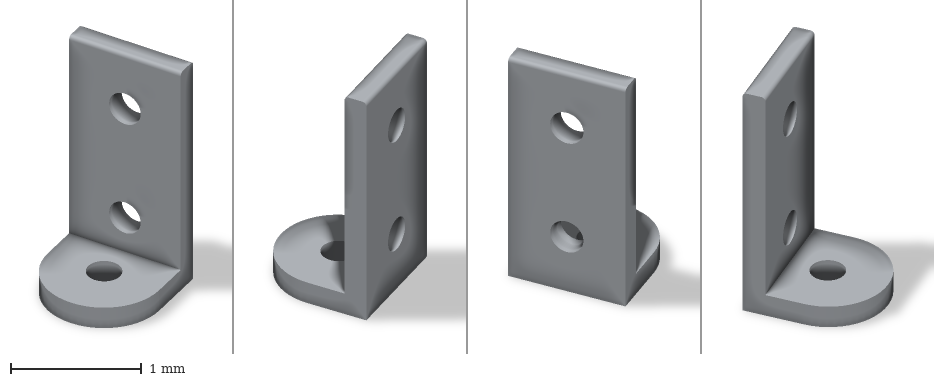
import cadquery as cq

width = 0.99
depth = 1.0
height = 2.0
thickness = 0.188

hole_diameter = 0.28
foot_hole_from_back = depth / 2
wall_hole_heights = (height / 4, 3 * height / 4)
top_edge_radius = 0.035
front_flat_width = 0.01
front_corner_radius = (width - front_flat_width) / 2
back_y = depth / 2


def make_foot():
    """Horizontal plate whose large front corner rounds leave a narrow flat between them."""
    foot = cq.Workplane("XY").box(width, depth, thickness, centered=(True, True, False))
    return foot.edges("|Z and <Y").fillet(front_corner_radius)


def make_wall():
    """Upright plate at the back, with both long top edges rounded."""
    wall = cq.Workplane("XY").box(width, thickness, height, centered=(True, True, False))
    wall = wall.faces(">Z").edges("|X").fillet(top_edge_radius)
    return wall.translate((0, back_y - thickness / 2, 0))


def make_foot_hole():
    """Vertical hole through the foot."""
    return (
        cq.Workplane("XY")
        .center(0, back_y - foot_hole_from_back)
        .circle(hole_diameter / 2)
        .extrude(thickness)
    )


def make_wall_holes():
    """Horizontal holes through the wall, one above the other."""
    return (
        cq.Workplane("XZ", origin=(0, back_y, 0))
        .pushPoints([(0, z) for z in wall_hole_heights])
        .circle(hole_diameter / 2)
        .extrude(thickness)
    )


result = make_foot().union(make_wall()).cut(make_foot_hole()).cut(make_wall_holes())